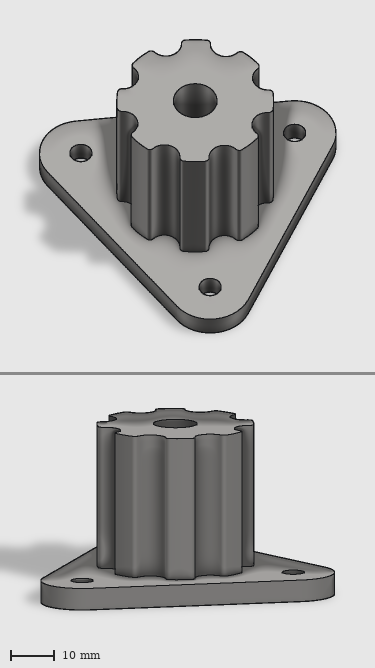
import cadquery as cq
import math

longest_side = 68.5
flange_thickness = 5.1
mount_circle_radius = 28.55
mount_hole_diameter = 5.1
mount_count = 3
mount_spacing = 2 * mount_circle_radius * math.sin(math.pi / mount_count)
corner_radius = (longest_side - mount_spacing) / 2

total_height = 38.1
hub_diameter = 36.1
bore_diameter = 10.0
flute_count = 8
flute_radius = 3.55
flute_edge_fillet = 1.0


def polar_points(radius, count, start_degrees=0.0):
    """Evenly spaced points on a circle about the hub axis."""
    angles = [math.radians(start_degrees + 360 * i / count) for i in range(count)]
    return [(radius * math.cos(a), radius * math.sin(a)) for a in angles]


mount_points = polar_points(mount_circle_radius, mount_count, 180.0)


def make_flange():
    sharp_corners = polar_points(mount_circle_radius + 2 * corner_radius, mount_count, 180.0)
    return (
        cq.Workplane("XY")
        .polyline(sharp_corners)
        .close()
        .extrude(flange_thickness)
        .edges("|Z")
        .fillet(corner_radius)
    )


def make_hub():
    """Cylinder with round flutes centred on its rim and softened flute edges."""
    hub_radius = hub_diameter / 2
    hub_height = total_height - flange_thickness
    base = cq.Workplane("XY").workplane(offset=flange_thickness)
    flutes = base.pushPoints(polar_points(hub_radius, flute_count)).circle(flute_radius).extrude(hub_height)
    hub = base.circle(hub_radius).extrude(hub_height).cut(flutes)
    return hub.edges("|Z").fillet(flute_edge_fillet)


bore = cq.Workplane("XY").circle(bore_diameter / 2).extrude(total_height)
mount_holes = (
    cq.Workplane("XY")
    .pushPoints(mount_points)
    .circle(mount_hole_diameter / 2)
    .extrude(flange_thickness)
)

result = make_flange().union(make_hub()).cut(bore).cut(mount_holes)